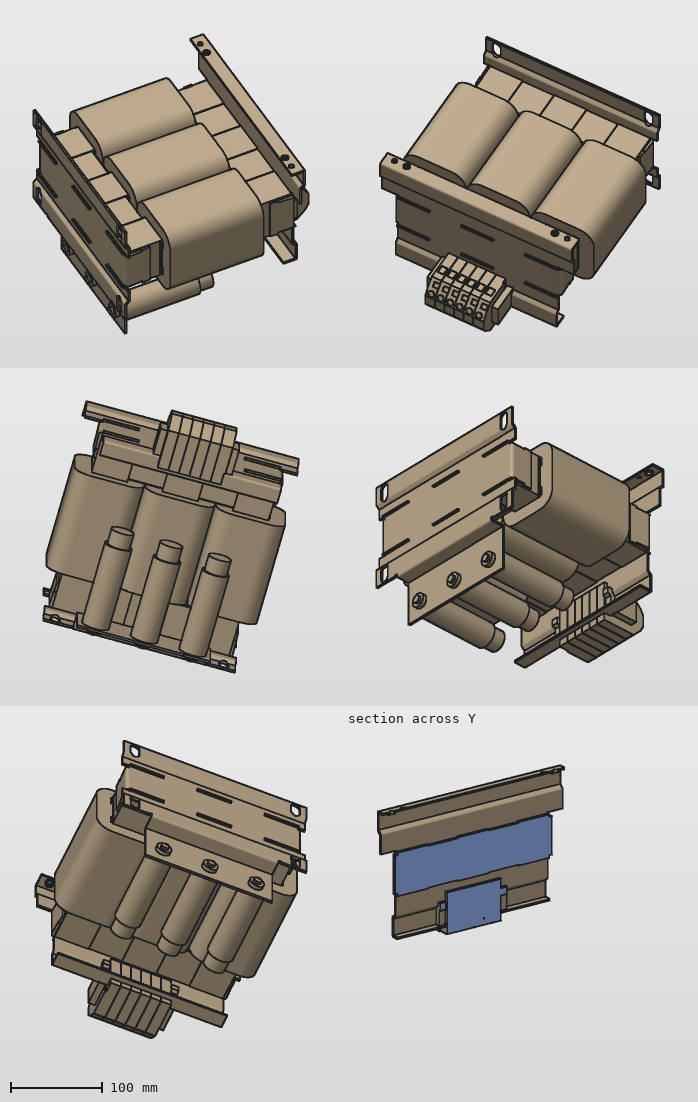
import cadquery as cq
import math


SHEET = 2.5
JOG = 4.35

LIMB_PITCH = 80.0
LIMB_WIDTH = 40.5
CORE_HALF_X = LIMB_PITCH + LIMB_WIDTH / 2
CORE_HALF_Y = 101.0
CORE_HALF_Z = 24.7
WINDOW_HALF_Y = 60.8
LINING = 0.8
LINING_HALF_Z = 24.2
LINING_OVERHANG = 0.8

COIL_WIDTH = 78.5
COIL_LENGTH = 114.7
COIL_HEIGHT = 85.2
COIL_RADIUS = 19.0
SPACER_WIDTH = 2.0
SPACER_LENGTH = 1.0
SPACER_BOTTOM = 14.5

STRIP_THICKNESS = 1.0
STRIP_HALF_LENGTH = 106.0
STRIP_TOP = CORE_HALF_Z + STRIP_THICKNESS

PLATE_FACE_Y = CORE_HALF_Y + SHEET
BRACKET_FACE_Y = PLATE_FACE_Y + JOG
BEND_RADIUS = 3.7
FLANGE_END_Y = 73.6
FLANGE_END_X = CORE_HALF_X + SHEET
FLANGE_NOTCH_Y = 83.5
FLANGE_NECK_HALF_Z = 22.5

FRONT_WIDTH = 216.7
FRONT_JOG_Z = 38.7
FRONT_TOP_Z = 65.5
SLOT_X = 95.2
SLOT_Z = 53.0
SLOT_LENGTH = 21.8
SLOT_WIDTH = 10.8

APRON_WIDTH = 150.5
APRON_FACE_Y = -90.5
APRON_SHELF_Z = -68.0
APRON_BOTTOM_Z = -122.5
RELIEF_WIDTH = 3.5
RELIEF_DEPTH = 1.0

REAR_WIDTH = 240.0
REAR_FLANGE_Z = 76.0
REAR_FLANGE_EDGE_Y = 91.0
REAR_JOG_Z = 49.0
REAR_UPPER_START_Z = 26.8
REAR_LOWER_WIDTH = 201.0
FLANGE_HOLE_Y = 96.8
NUT_HOLE_X = 108.0
NUT_HOLE_RADIUS = 3.0
NUT_RADIUS = 4.7
NUT_HEIGHT = 1.5
SCREW_X = 92.8
SCREW_RADIUS = 4.0
SCREW_SINK = 0.5
CROSS_LENGTH = 5.3
CROSS_WIDTH = 1.3
CROSS_DEPTH = 1.5

CAPACITOR_PITCH = 55.0
CAPACITOR_Z = -102.5
CAPACITOR_RADIUS = 15.3
CAPACITOR_SHOULDER_Y = 5.0
CAPACITOR_CAP_RADIUS = 12.5
CAPACITOR_END_Y = 22.4
WASHER_RADIUS = 8.5
WASHER_THICKNESS = 4.7
STUD_RADIUS = 4.5
STUD_LENGTH = 3.0

TERMINAL_COUNT = 6
TERMINAL_RIGHT_X = 36.5
TERMINAL_ROW_WIDTH = 71.5
TERMINAL_PITCH = TERMINAL_ROW_WIDTH / TERMINAL_COUNT
TERMINAL_LEFT_X = TERMINAL_RIGHT_X - TERMINAL_ROW_WIDTH
JOINT_WIDTH = 0.3
JOINT_DEPTH = 0.5
TERMINAL_Z = -60.2
TERMINAL_BASE_Y = 97.0
TERMINAL_BACK_Y = 155.2
TERMINAL_HALF_Z = 24.7
TERMINAL_SHOULDER_Y = 140.5
TERMINAL_KNEE_Y = 150.7
TERMINAL_KNEE_HALF_Z = 14.7
TERMINAL_NOSE_HALF_Z = 7.0
END_PLATE_THICKNESS = 1.5
END_PLATE_BASE_Y = 109.7
END_STOP_WIDTH = 8.0
END_STOP_BACK_Y = 137.0
END_STOP_TOP_Z = -46.3
END_STOP_BOTTOM_Z = -73.6
END_STOP_HOOK_Y = 95.0
END_STOP_HOOK_Z = -54.0
END_STOP_BASE_Y = 99.2
SCREW_HEAD_RADIUS = 3.7
SCREW_HEAD_DEPTH = 1.0
PROBE_WIDTH = 6.8
PROBE_LENGTH = 5.8
PROBE_DEPTH = 1.5
MARKER_WIDTH = 7.4
MARKER_LENGTH = 9.2
MARKER_Y = 127.0
MARKER_DEPTH = 0.8


def block(x0, x1, y0, y1, z0, z1):
    """Box between two opposite corners."""
    return cq.Workplane("XY").box(x1 - x0, y1 - y0, z1 - z0, centered=False).translate((x0, y0, z0))


def rod(radius, x, z, y0, y1):
    """Round bar along Y."""
    return cq.Workplane("XZ", origin=(x, y0, z)).circle(radius).extrude(y0 - y1)


def bent_sheet(path, width):
    """Sheet strip centred on X = 0 whose right-hand face, walking the (y, z) path, is the path."""
    normals = []
    for (y0, z0), (y1, z1) in zip(path, path[1:]):
        length = math.hypot(y1 - y0, z1 - z0)
        normals.append(((z0 - z1) / length, (y1 - y0) / length))
    inner = []
    for (y, z), (ay, az), (by, bz) in zip(path, normals[:1] + normals, normals + normals[-1:]):
        mitre = SHEET / (1 + ay * by + az * bz)
        inner.append((y + mitre * (ay + by), z + mitre * (az + bz)))
    outline = path + inner[::-1]
    return cq.Workplane("YZ").polyline(outline).close().extrude(width / 2, both=True)


def round_bend(sheet, y, z):
    """Round the outer corner of the bend at (y, z)."""
    return sheet.edges(cq.selectors.NearestToPointSelector((0, y, z))).fillet(SHEET)


def round_jog(sheet, side, z):
    """Round both outer corners of the jog that starts at height z on the given Y side."""
    step = math.copysign(JOG, z)
    sheet = round_bend(sheet, side * CORE_HALF_Y, z)
    return round_bend(sheet, side * BRACKET_FACE_Y, z + step)


def make_core():
    core = block(-CORE_HALF_X, CORE_HALF_X, -CORE_HALF_Y, CORE_HALF_Y, -CORE_HALF_Z, CORE_HALF_Z)
    for side in (-1, 1):
        window = cq.Workplane("XY").box(LIMB_PITCH - LIMB_WIDTH, 2 * WINDOW_HALF_Y, 2 * CORE_HALF_Z)
        core = core.cut(window.translate((side * LIMB_PITCH / 2, 0, 0)))
        lining = cq.Workplane("XY").box(2 * (CORE_HALF_X + LINING_OVERHANG), LINING, 2 * LINING_HALF_Z)
        core = core.union(lining.translate((0, side * (WINDOW_HALF_Y - LINING / 2), 0)))
    return core


def make_coil(x):
    coil = cq.Workplane("XY").box(COIL_WIDTH, COIL_LENGTH, COIL_HEIGHT).edges("|Y").fillet(COIL_RADIUS)
    strips = cq.Workplane("XY").box(LIMB_WIDTH, 2 * STRIP_HALF_LENGTH, 2 * STRIP_TOP)
    limb_gap = cq.Workplane("XY").box(LIMB_WIDTH, 2 * STRIP_HALF_LENGTH, 2 * CORE_HALF_Z)
    coil = coil.union(strips.cut(limb_gap))
    spacer_half_x = LIMB_WIDTH / 2 + SPACER_WIDTH
    front = -COIL_LENGTH / 2
    for z0, z1 in ((-LINING_HALF_Z, -SPACER_BOTTOM), (SPACER_BOTTOM, LINING_HALF_Z)):
        coil = coil.union(block(-spacer_half_x, spacer_half_x, front - SPACER_LENGTH, front, z0, z1))
    return coil.translate((x, 0, 0))


def make_clamp_plate():
    """Rear plate over the core end, with side flanges bent forward along the core."""
    plate = block(-CORE_HALF_X, CORE_HALF_X, CORE_HALF_Y, PLATE_FACE_Y, -STRIP_TOP, STRIP_TOP)
    bend_x = CORE_HALF_X + BEND_RADIUS
    bend_y = PLATE_FACE_Y - BEND_RADIUS
    diagonal = BEND_RADIUS * math.sqrt(0.5)
    flange = (
        cq.Workplane("XY")
        .moveTo(CORE_HALF_X, FLANGE_END_Y)
        .lineTo(CORE_HALF_X, PLATE_FACE_Y)
        .threePointArc((CORE_HALF_X + diagonal, bend_y + diagonal), (bend_x, bend_y))
        .lineTo(FLANGE_END_X, FLANGE_END_Y)
        .close()
        .extrude(CORE_HALF_Z, both=True)
    )
    for side in (-1, 1):
        z0, z1 = sorted((side * FLANGE_NECK_HALF_Z, side * CORE_HALF_Z))
        flange = flange.cut(block(CORE_HALF_X, bend_x, FLANGE_NOTCH_Y, PLATE_FACE_Y, z0, z1))
    return plate.union(flange).union(flange.mirror("YZ"))


def make_front_bracket():
    upper_path = [
        (-BRACKET_FACE_Y, FRONT_TOP_Z),
        (-BRACKET_FACE_Y, FRONT_JOG_Z + JOG),
        (-PLATE_FACE_Y, FRONT_JOG_Z),
        (-PLATE_FACE_Y, STRIP_TOP),
    ]
    upper = round_jog(bent_sheet(upper_path, FRONT_WIDTH), -1, FRONT_JOG_Z)
    apron_path = [
        (-PLATE_FACE_Y, -STRIP_TOP),
        (-PLATE_FACE_Y, -FRONT_JOG_Z),
        (-BRACKET_FACE_Y, -FRONT_JOG_Z - JOG),
        (-BRACKET_FACE_Y, APRON_SHELF_Z),
        (APRON_FACE_Y, APRON_SHELF_Z),
        (APRON_FACE_Y, APRON_BOTTOM_Z),
    ]
    apron = round_jog(bent_sheet(apron_path, APRON_WIDTH), -1, -FRONT_JOG_Z)
    apron = round_bend(apron, -BRACKET_FACE_Y, APRON_SHELF_Z)
    apron = round_bend(apron, APRON_FACE_Y + SHEET, APRON_SHELF_Z + SHEET)
    bracket = upper.union(upper.mirror("XY"))
    for side in (-1, 1):
        x0, x1 = sorted((side * APRON_WIDTH / 2, side * (APRON_WIDTH / 2 + RELIEF_WIDTH)))
        relief_top = RELIEF_DEPTH - FRONT_TOP_Z
        bracket = bracket.cut(block(x0, x1, -BRACKET_FACE_Y, -PLATE_FACE_Y, -FRONT_TOP_Z, relief_top))
    slots = (
        cq.Workplane("XZ", origin=(0, -CORE_HALF_Y, 0))
        .rect(2 * SLOT_X, 2 * SLOT_Z, forConstruction=True)
        .vertices()
        .slot2D(SLOT_LENGTH, SLOT_WIDTH, 90)
        .extrude(BRACKET_FACE_Y - CORE_HALF_Y)
    )
    return bracket.cut(slots).union(apron)


def make_rear_half(start_z, width):
    """Rear bracket arm above the core, ending in a flange that points to the front."""
    path = [
        (PLATE_FACE_Y, start_z),
        (PLATE_FACE_Y, REAR_JOG_Z),
        (BRACKET_FACE_Y, REAR_JOG_Z + JOG),
        (BRACKET_FACE_Y, REAR_FLANGE_Z),
        (REAR_FLANGE_EDGE_Y, REAR_FLANGE_Z),
    ]
    arm = round_bend(bent_sheet(path, width), BRACKET_FACE_Y, REAR_FLANGE_Z)
    return round_jog(arm, 1, REAR_JOG_Z)


def flange_bars(hole_x, radius, height):
    """Pair of round bars hanging from the top of the rear flange."""
    points = [(-hole_x, FLANGE_HOLE_Y), (hole_x, FLANGE_HOLE_Y)]
    return cq.Workplane("XY", origin=(0, 0, REAR_FLANGE_Z)).pushPoints(points).circle(radius).extrude(-height)


def make_rear_bracket():
    upper = make_rear_half(REAR_UPPER_START_Z, REAR_WIDTH)
    nut_depth = SHEET + NUT_HEIGHT
    upper = upper.union(flange_bars(NUT_HOLE_X, NUT_RADIUS, nut_depth))
    upper = upper.cut(flange_bars(NUT_HOLE_X, NUT_HOLE_RADIUS, nut_depth))
    upper = upper.cut(flange_bars(SCREW_X, SCREW_RADIUS, SCREW_SINK))
    for side in (-1, 1):
        recess = cq.Workplane("XY", origin=(side * SCREW_X, FLANGE_HOLE_Y, REAR_FLANGE_Z))
        upper = upper.cut(recess.rect(CROSS_LENGTH, CROSS_WIDTH).extrude(-CROSS_DEPTH))
        upper = upper.cut(recess.rect(CROSS_WIDTH, CROSS_LENGTH).extrude(-CROSS_DEPTH))
    web = block(-CORE_HALF_X, CORE_HALF_X, CORE_HALF_Y, PLATE_FACE_Y, STRIP_TOP, REAR_UPPER_START_Z)
    lower = make_rear_half(STRIP_TOP, REAR_LOWER_WIDTH).mirror("XY")
    return upper.union(web).union(lower)


def make_capacitor(x):
    washer_face_y = APRON_FACE_Y - WASHER_THICKNESS
    body = rod(CAPACITOR_RADIUS, x, CAPACITOR_Z, APRON_FACE_Y + SHEET, CAPACITOR_SHOULDER_Y)
    cap = rod(CAPACITOR_CAP_RADIUS, x, CAPACITOR_Z, CAPACITOR_SHOULDER_Y, CAPACITOR_END_Y)
    washer = rod(WASHER_RADIUS, x, CAPACITOR_Z, washer_face_y, APRON_FACE_Y)
    stud = rod(STUD_RADIUS, x, CAPACITOR_Z, washer_face_y - STUD_LENGTH, washer_face_y)
    return body.union(cap).union(washer).union(stud)


def terminal_body(base_y, x0, x1, inset=0):
    """Terminal housing between two X planes, with a faceted nose and its outline set inwards."""
    upper = [
        (base_y, TERMINAL_HALF_Z),
        (TERMINAL_SHOULDER_Y, TERMINAL_HALF_Z),
        (TERMINAL_KNEE_Y, TERMINAL_KNEE_HALF_Z),
        (TERMINAL_BACK_Y, TERMINAL_NOSE_HALF_Z),
    ]
    outline = upper + [(y, -z) for y, z in reversed(upper)]
    profile = cq.Workplane("YZ", origin=(x0, 0, TERMINAL_Z)).polyline(outline).close()
    if inset:
        profile = profile.offset2D(-inset)
    return profile.extrude(x1 - x0)


def facet_plane(x, start, end):
    """Plane centred on the housing facet between two (y, half z) corners, facing outwards."""
    dy = end[0] - start[0]
    dz = end[1] - start[1]
    origin = (x, (start[0] + end[0]) / 2, TERMINAL_Z + (start[1] + end[1]) / 2)
    return cq.Plane(origin=origin, xDir=(1, 0, 0), normal=(0, -dz, dy))


def make_terminals():
    row = terminal_body(TERMINAL_BASE_Y, TERMINAL_LEFT_X, TERMINAL_RIGHT_X)
    shoulder = (TERMINAL_SHOULDER_Y, TERMINAL_HALF_Z)
    knee = (TERMINAL_KNEE_Y, TERMINAL_KNEE_HALF_Z)
    nose = (TERMINAL_BACK_Y, TERMINAL_NOSE_HALF_Z)
    for index in range(1, TERMINAL_COUNT):
        joint_x = TERMINAL_LEFT_X + index * TERMINAL_PITCH
        joint = (joint_x - JOINT_WIDTH / 2, joint_x + JOINT_WIDTH / 2)
        groove = terminal_body(TERMINAL_BASE_Y, *joint)
        row = row.cut(groove.cut(terminal_body(TERMINAL_BASE_Y, *joint, JOINT_DEPTH)))
    for index in range(TERMINAL_COUNT):
        left = TERMINAL_LEFT_X + index * TERMINAL_PITCH
        middle = left + TERMINAL_PITCH / 2
        screw = cq.Workplane(facet_plane(middle, knee, nose)).circle(SCREW_HEAD_RADIUS)
        row = row.cut(screw.extrude(-SCREW_HEAD_DEPTH))
        probe = cq.Workplane(facet_plane(left + PROBE_WIDTH / 2, shoulder, knee))
        row = row.cut(probe.rect(PROBE_WIDTH, PROBE_LENGTH).extrude(-PROBE_DEPTH))
        marker = cq.Workplane("XY", origin=(middle, MARKER_Y, TERMINAL_Z + TERMINAL_HALF_Z))
        row = row.cut(marker.rect(MARKER_WIDTH, MARKER_LENGTH).extrude(-MARKER_DEPTH))
    end_plate = terminal_body(END_PLATE_BASE_Y, TERMINAL_LEFT_X - END_PLATE_THICKNESS, TERMINAL_LEFT_X)
    return row.union(end_plate)


def make_end_stop(x):
    """Clamp beside the terminal row, with a hook at its upper front corner."""
    outline = [
        (END_STOP_BACK_Y, END_STOP_TOP_Z),
        (END_STOP_HOOK_Y, END_STOP_TOP_Z),
        (END_STOP_HOOK_Y, END_STOP_HOOK_Z),
        (END_STOP_BASE_Y, END_STOP_HOOK_Z - (END_STOP_BASE_Y - END_STOP_HOOK_Y) / 2),
        (END_STOP_BASE_Y, END_STOP_BOTTOM_Z),
        (END_STOP_BACK_Y, END_STOP_BOTTOM_Z),
    ]
    return cq.Workplane("YZ", origin=(x, 0, 0)).polyline(outline).close().extrude(END_STOP_WIDTH)


rear_clamp = make_clamp_plate()
result = make_core().union(rear_clamp).union(rear_clamp.mirror("XZ"))
for position in (-1, 0, 1):
    result = result.union(make_coil(position * LIMB_PITCH))
result = result.union(make_front_bracket()).union(make_rear_bracket())
for position in (-1, 0, 1):
    result = result.union(make_capacitor(position * CAPACITOR_PITCH))
result = result.union(make_terminals())
result = result.union(make_end_stop(TERMINAL_LEFT_X - END_PLATE_THICKNESS - END_STOP_WIDTH))
result = result.union(make_end_stop(TERMINAL_RIGHT_X))